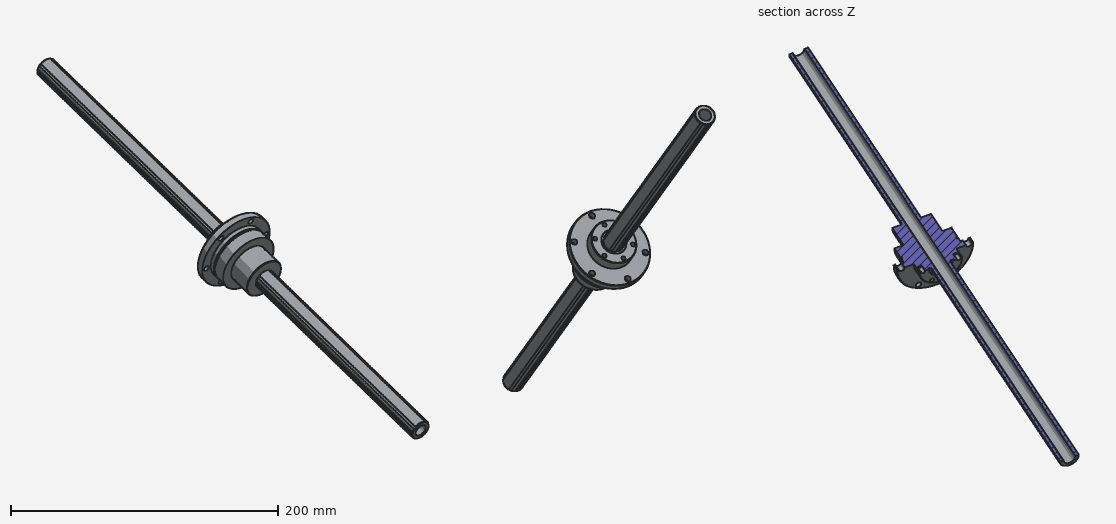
import cadquery as cq
import math


shaft_length = 460.0
shaft_diameter = 16.0
bore_diameter = 9.5
shaft_chamfer = 0.5

crest_count = 3
first_crest_angle = 30.0
groove_half_angle = 18.0
groove_ball_diameter = 2.8
groove_depth = 0.55

nut_start = 218.0
collar_length = 9.5
collar_diameter = 36.0
collar_chamfer = 0.5
flange_thickness = 6.0
flange_diameter = 64.0
body_length = 15.0
body_diameter = 48.0
barrel_length = 19.5
barrel_diameter = 32.5
rim_chamfer = 0.5

seal_recess_diameter = 20.0
seal_recess_depth = 1.0

ring_groove_offset = 3.5
ring_groove_width = 1.5
ring_groove_depth = 1.0

hole_count = 6
flange_hole_diameter = 4.5
flange_hole_circle = 56.0
collar_hole_diameter = 3.0
collar_hole_circle = 30.0
collar_hole_depth = 6.0

flange_start = nut_start + collar_length
body_start = flange_start + flange_thickness
barrel_start = body_start + body_length
cut_margin = 4.5


def section(x_position):
    """Work plane across the part axis, with local x on +Y and local y on +Z."""
    return cq.Workplane("YZ", origin=(x_position, 0, 0))


def disc(x_position, length, diameter):
    return section(x_position).circle(diameter / 2).extrude(length)


def bolt_circle_holes(x_position, depth, circle_diameter, hole_diameter):
    return (
        section(x_position)
        .polarArray(circle_diameter / 2, 0, 360, hole_count)
        .circle(hole_diameter / 2)
        .extrude(depth)
    )


def make_shaft():
    shaft = disc(0, shaft_length, shaft_diameter).faces("<X or >X").chamfer(shaft_chamfer)
    groove_centre_radius = (shaft_diameter + groove_ball_diameter) / 2 - groove_depth
    groove_centres = []
    for crest in range(crest_count):
        crest_angle = first_crest_angle + crest * 360 / crest_count
        for side in (-1, 1):
            angle = math.radians(crest_angle + side * groove_half_angle)
            groove_centres.append(
                (groove_centre_radius * math.cos(angle), groove_centre_radius * math.sin(angle))
            )
    grooves = (
        section(0).pushPoints(groove_centres).circle(groove_ball_diameter / 2).extrude(shaft_length)
    )
    return shaft.cut(grooves)


def make_nut():
    collar = disc(nut_start, collar_length, collar_diameter).faces("<X").chamfer(collar_chamfer)
    flange = disc(flange_start, flange_thickness, flange_diameter).faces("<X").chamfer(rim_chamfer)
    body = disc(body_start, body_length, body_diameter)
    barrel = disc(barrel_start, barrel_length, barrel_diameter).faces(">X").chamfer(rim_chamfer)
    nut = collar.union(flange).union(body).union(barrel)

    ring_groove = (
        section(body_start + ring_groove_offset)
        .circle(body_diameter / 2 + cut_margin)
        .circle(body_diameter / 2 - ring_groove_depth)
        .extrude(ring_groove_width)
    )
    seal_recess = disc(nut_start, seal_recess_depth, seal_recess_diameter)
    flange_holes = bolt_circle_holes(
        flange_start, flange_thickness, flange_hole_circle, flange_hole_diameter
    )
    collar_holes = bolt_circle_holes(
        nut_start, collar_hole_depth, collar_hole_circle, collar_hole_diameter
    )
    return nut.cut(ring_groove).cut(seal_recess).cut(flange_holes).cut(collar_holes)


bore = disc(-cut_margin, shaft_length + 2 * cut_margin, bore_diameter)
result = make_shaft().union(make_nut()).cut(bore)